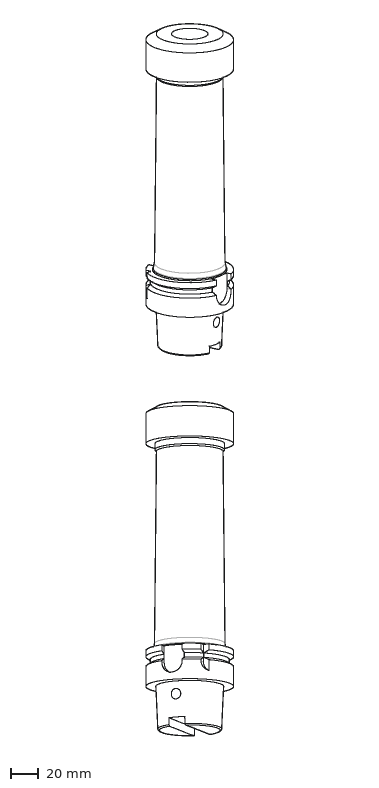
import cadquery as cq
import math


flange_radius = 31.5
total_length = 235.2

shank_length = 32.0
shank_top_radius = 24.4
shank_end_radius = 23.0
shank_end_chamfer = 1.0
drive_slot_width = 12.5
drive_slot_depth = 6.0
cross_hole_diameter = 7.5
cross_hole_z = -9.2

flange_height = 26.0
groove_mid_z = 18.0
groove_half_width = 3.6
groove_floor_radius = 28.4
groove_floor_half_width = 1.6

flange_slot_floor = 26.5
flange_slot_bottom_z = 5.3
left_slot_width = 16.0
right_slot_width = 18.0

notch_wall = 20.0
notch_radius = 7.0
notch_round_start_z = 13.0

neck_radius = 26.2
neck_foot_radius = 26.8
neck_foot_height = 0.8
neck_blend_bottom_z = 27.5
body_start_z = 31.2
body_bottom_radius = 25.4
body_top_radius = 24.0

nut_height = 26.4
nut_chamfer_height = 4.33
nut_chamfer_angle = 30.0
collar_radius = 25.0
collar_height = 4.4
collar_chamfer_height = 1.2
bore_diameter = 26.0
bore_depth = 40.0

top_z = total_length - shank_length
nut_bottom_z = top_z - nut_height
nut_face_radius = flange_radius - nut_chamfer_height / math.tan(math.radians(nut_chamfer_angle))
collar_bottom_z = nut_bottom_z - collar_height
body_top_z = collar_bottom_z - collar_chamfer_height


def revolved_body():
    profile = [
        (0, -shank_length),
        (shank_end_radius - shank_end_chamfer, -shank_length),
        (shank_end_radius, -shank_length + shank_end_chamfer),
        (shank_top_radius, 0),
        (flange_radius, 0),
        (flange_radius, groove_mid_z - groove_half_width),
        (groove_floor_radius, groove_mid_z - groove_floor_half_width),
        (groove_floor_radius, groove_mid_z + groove_floor_half_width),
        (flange_radius, groove_mid_z + groove_half_width),
        (flange_radius, flange_height),
        (neck_foot_radius, flange_height),
        (neck_radius, flange_height + neck_foot_height),
        (neck_radius, neck_blend_bottom_z),
        (body_bottom_radius, body_start_z),
        (body_top_radius, body_top_z),
        (collar_radius, collar_bottom_z),
        (collar_radius, nut_bottom_z),
        (flange_radius, nut_bottom_z),
        (flange_radius, top_z - nut_chamfer_height),
        (nut_face_radius, top_z),
        (0, top_z),
    ]
    return cq.Workplane("XZ").polyline(profile).close().revolve(360, (0, 0, 0), (0, 1, 0))


def round_ended_slot(width, center_y, round_center_z, x_start, x_length):
    """Upright slot along X with a half-round lower end, open at the top of the flange."""
    half = width / 2
    return (
        cq.Workplane("YZ", origin=(x_start, center_y, 0))
        .moveTo(-half, flange_height)
        .lineTo(-half, round_center_z)
        .threePointArc((0, round_center_z - half), (half, round_center_z))
        .lineTo(half, flange_height)
        .close()
        .extrude(x_length)
    )


def flange_slot(width, side):
    round_center_z = flange_slot_bottom_z + width / 2
    x_length = side * flange_radius
    return round_ended_slot(width, 0, round_center_z, side * flange_slot_floor, x_length)


def orientation_notch():
    center_y = -notch_wall - notch_radius
    return round_ended_slot(2 * notch_radius, center_y, notch_round_start_z, -notch_wall, -flange_radius)


def drive_slot():
    return (
        cq.Workplane("XY", origin=(0, 0, -shank_length))
        .box(2 * flange_radius, drive_slot_width, drive_slot_depth, centered=(True, True, False))
    )


def cross_hole():
    return (
        cq.Workplane("YZ", origin=(-flange_radius, 0, cross_hole_z))
        .circle(cross_hole_diameter / 2)
        .extrude(2 * flange_radius)
    )


def nut_bore():
    return (
        cq.Workplane("XY", origin=(0, 0, top_z))
        .circle(bore_diameter / 2)
        .extrude(-bore_depth)
    )


result = (
    revolved_body()
    .cut(flange_slot(left_slot_width, -1))
    .cut(flange_slot(right_slot_width, 1))
    .cut(orientation_notch())
    .cut(drive_slot())
    .cut(cross_hole())
    .cut(nut_bore())
)